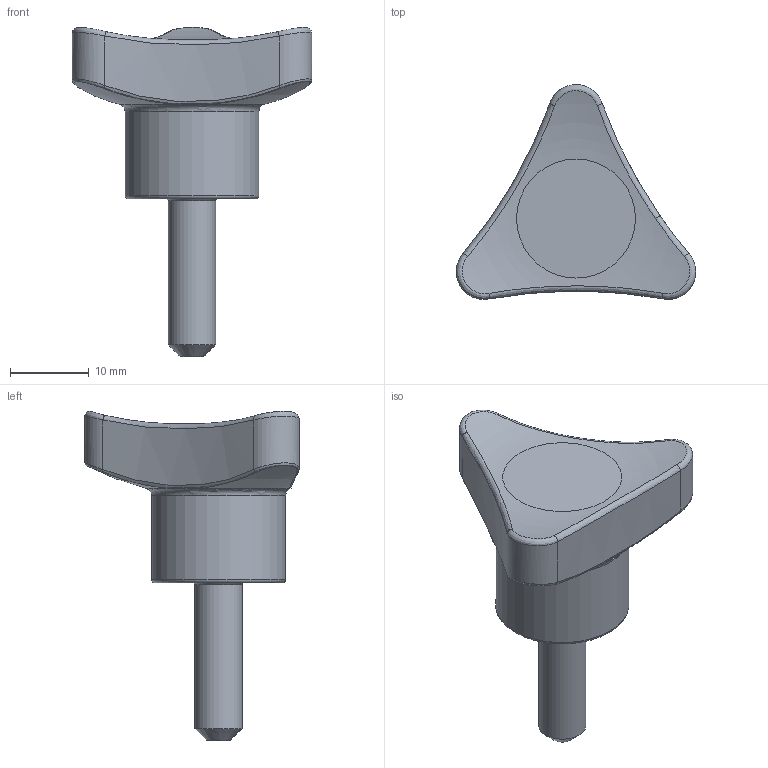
import cadquery as cq
import math


LOBE_COUNT = 3
LOBE_PITCH = 360 / LOBE_COUNT
FIRST_LOBE_ANGLE = 90
LOBE_TIP_RADIUS = 3.5
LOBE_REACH = 17.0
SIDE_ARC_RADIUS = 62.0
LOBE_CENTER_RADIUS = LOBE_REACH - LOBE_TIP_RADIUS

CENTER_DISC_RADIUS = 15.1 / 2
CENTER_DISC_Z = 20.1
TOP_DISH_RADIUS = 37.0
TOP_DISH_START_ANGLE = 3.9
UNDERSIDE_SPHERE_RADIUS = 37.0
UNDERSIDE_LOW_Z = 10.86
TOP_EDGE_FILLET = 0.6
BOTTOM_EDGE_FILLET = 0.4

HUB_RADIUS = 17.0 / 2
HUB_EDGE_FILLET = 0.4
HUB_NECK_FILLET = 1.0
HUB_NECK_SINK = 0.01

PIN_RADIUS = 6.0 / 2
PIN_LENGTH = 20.0
PIN_TIP_CHAMFER = 1.5
PIN_ROOT_FLARE = 0.2

OVERRUN = 5.0


def polar(radius, angle):
    """Point at a radius and an angle in degrees."""
    return radius * math.cos(math.radians(angle)), radius * math.sin(math.radians(angle))


def sphere_rise(sphere_radius, radius):
    """Height of a spherical bowl above its lowest point at a distance from the axis."""
    return sphere_radius - math.sqrt(sphere_radius**2 - radius**2)


def grip_outline():
    """Convex lobe tips joined by tangent hollow sides; the first lobe points to +Y."""
    half_pitch = math.radians(LOBE_PITCH / 2)
    half_span = LOBE_CENTER_RADIUS * math.sin(half_pitch)
    center_gap = SIDE_ARC_RADIUS + LOBE_TIP_RADIUS
    side_center = LOBE_CENTER_RADIUS * math.cos(half_pitch) + math.sqrt(center_gap**2 - half_span**2)
    side_middle = side_center - SIDE_ARC_RADIUS

    def tangent_point(lobe_angle, side_angle):
        """Point where the tip arc of a lobe meets a neighbouring side arc."""
        lobe_x, lobe_y = polar(LOBE_CENTER_RADIUS, lobe_angle)
        side_x, side_y = polar(side_center, side_angle)
        share = LOBE_TIP_RADIUS / center_gap
        return lobe_x + share * (side_x - lobe_x), lobe_y + share * (side_y - lobe_y)

    start = tangent_point(FIRST_LOBE_ANGLE, FIRST_LOBE_ANGLE - LOBE_PITCH / 2)
    outline = cq.Workplane("XY").moveTo(*start)
    for i in range(LOBE_COUNT):
        lobe = FIRST_LOBE_ANGLE + i * LOBE_PITCH
        side = lobe + LOBE_PITCH / 2
        outline = outline.threePointArc(polar(LOBE_REACH, lobe), tangent_point(lobe, side))
        outline = outline.threePointArc(polar(side_middle, side), tangent_point(lobe + LOBE_PITCH, side))
    return outline.close()


def dished_blank():
    """Round body between the dished top and the spherical underside."""
    rim = LOBE_REACH + OVERRUN

    start_angle = math.radians(TOP_DISH_START_ANGLE)
    dish_center_r = CENTER_DISC_RADIUS - TOP_DISH_RADIUS * math.sin(start_angle)
    dish_center_z = CENTER_DISC_Z + TOP_DISH_RADIUS * math.cos(start_angle)
    middle = (CENTER_DISC_RADIUS + rim) / 2

    def top_z(radius):
        return dish_center_z - math.sqrt(TOP_DISH_RADIUS**2 - (radius - dish_center_r) ** 2)

    def underside_z(radius):
        return UNDERSIDE_LOW_Z + sphere_rise(UNDERSIDE_SPHERE_RADIUS, radius)

    return (
        cq.Workplane("XZ")
        .moveTo(0, CENTER_DISC_Z)
        .lineTo(CENTER_DISC_RADIUS, CENTER_DISC_Z)
        .threePointArc((middle, top_z(middle)), (rim, top_z(rim)))
        .lineTo(rim, underside_z(rim))
        .threePointArc((rim / 2, underside_z(rim / 2)), (0, UNDERSIDE_LOW_Z))
        .close()
        .revolve(360, (0, 0, 0), (0, 1, 0))
    )


def grip():
    """Outline cut from the dished body, with its upper and lower rims rounded."""
    body = grip_outline().extrude(CENTER_DISC_Z + OVERRUN).intersect(dished_blank())
    body = body.faces("%SPHERE").edges("not %CIRCLE").fillet(BOTTOM_EDGE_FILLET)
    return body.faces("%REVOLUTION").edges("not %CIRCLE").fillet(TOP_EDGE_FILLET)


def hub():
    """Round hub whose neck flares out tangent to the spherical underside of the grip."""
    sphere_center_z = UNDERSIDE_LOW_Z + UNDERSIDE_SPHERE_RADIUS
    flare_center_r = HUB_RADIUS + HUB_NECK_FILLET
    center_gap = UNDERSIDE_SPHERE_RADIUS + HUB_NECK_FILLET
    tangent_z = sphere_center_z - math.sqrt(center_gap**2 - flare_center_r**2)

    flare_center_z = tangent_z + HUB_NECK_SINK

    sphere_slope = math.degrees(math.asin(flare_center_r / center_gap))
    flare_end_angle = 90 + sphere_slope

    def flare_point(angle):
        offset_r, offset_z = polar(HUB_NECK_FILLET, angle)
        return flare_center_r + offset_r, flare_center_z + offset_z

    flare_end = flare_point(flare_end_angle)
    return (
        cq.Workplane("XZ")
        .lineTo(HUB_RADIUS, 0)
        .lineTo(HUB_RADIUS, flare_center_z)
        .threePointArc(flare_point((180 + flare_end_angle) / 2), flare_end)
        .lineTo(flare_end[0] - HUB_NECK_FILLET, flare_end[1] + HUB_NECK_FILLET)
        .lineTo(0, flare_end[1] + HUB_NECK_FILLET)
        .close()
        .revolve(360, (0, 0, 0), (0, 1, 0))
        .faces("<Z")
        .edges()
        .fillet(HUB_EDGE_FILLET)
    )


def pin():
    """Plain pin with a chamfered tip and a small flared root at the hub face."""
    tip_radius = PIN_RADIUS - PIN_TIP_CHAMFER
    return (
        cq.Workplane("XZ")
        .lineTo(PIN_RADIUS + PIN_ROOT_FLARE, 0)
        .lineTo(PIN_RADIUS, -PIN_ROOT_FLARE)
        .lineTo(PIN_RADIUS, PIN_TIP_CHAMFER - PIN_LENGTH)
        .lineTo(tip_radius, -PIN_LENGTH)
        .lineTo(0, -PIN_LENGTH)
        .close()
        .revolve(360, (0, 0, 0), (0, 1, 0))
    )


result = grip().union(hub()).union(pin())